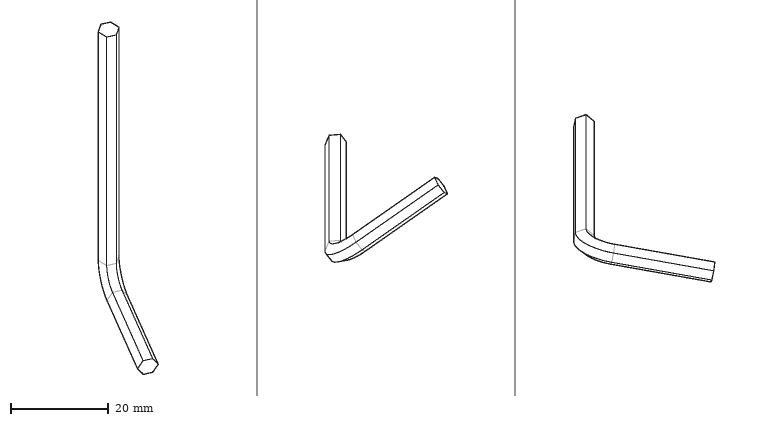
import cadquery as cq

long_arm = 74.0
short_arm = 29.0

across_flats = 4.0
across_corners = 4.5
flat_width = 2.1

inner_bend_radius = 4.0
bend_radius = inner_bend_radius + across_flats / 2

half_flats = across_flats / 2
half_corners = across_corners / 2
half_flat_width = flat_width / 2

bend_start_height = half_flats + bend_radius
centreline = (
    cq.Workplane("XZ")
    .moveTo(half_flats, long_arm)
    .lineTo(half_flats, bend_start_height)
    .radiusArc((bend_start_height, half_flats), -bend_radius)
    .lineTo(short_arm, half_flats)
)

section = (
    cq.Workplane("XY", origin=(half_flats, 0, long_arm))
    .polyline([
        (half_flats, half_flat_width),
        (0, half_corners),
        (-half_flats, half_flat_width),
        (-half_flats, -half_flat_width),
        (0, -half_corners),
        (half_flats, -half_flat_width),
    ])
    .close()
)

result = section.sweep(centreline)